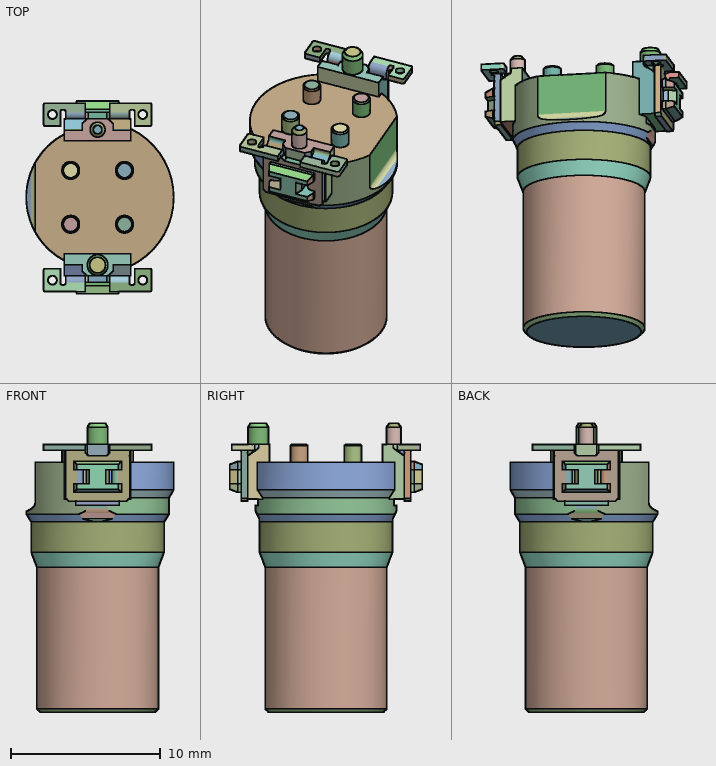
import cadquery as cq
import math

overall_height = 19.35
cover_top = 17.94
body_top = 16.74

can_radius = 4.08
can_edge_chamfer = 0.25
neck_radius = 4.46
body_radius = 4.78
rim_radius = 5.1
shoulder_bottom = 9.73
shoulder_top = 10.73
lip_bottom = 12.75
lip_top = 13.27
rim_cone_bottom = 14.35
rim_cone_top = 14.91

flat_x = -4.18
flat_bottom = 14.07
runout_radius = 0.5
runout_slope = 30.0
runout_width = 1.0

upper_flat = 4.55
lower_flat = 4.73
slope_start_flat = 4.65
foot_flat = 4.48
flat_step_height = 13.85
curve_start = 13.63
slope_start = 13.34
slope_end = 12.96

contact_radius = 0.59
contact_pitch = 3.6
contact_chamfer = 0.1

block_half_width = 2.23
block_inner = 3.77
block_outer = 5.25
block_bottom = 14.27
step_distance = 4.5
step_bottom = 17.68
slope_bottom = 17.16
step_fillet = 0.2
nose_half_width = 1.04
nose_tip_half_width = 0.7
nose_taper_start = 4.93

locator_distance = 4.53
locator_tip_length = 0.26
large_locator_radius = 0.69
large_locator_tip = 0.53
small_locator_radius = 0.5
small_locator_tip = 0.29

sheet = 0.43
plate_outer = block_outer + sheet
plate_half_width = 2.14
plate_bottom = 14.14
plate_corner = 0.2
tab_thickness = 0.4
inner_bend_radius = 0.06
tab_bottom = cover_top - tab_thickness
tab_outer = 6.31
tab_half_width = 3.62
ear_inner = 4.76
ear_half_gap = 2.48
ear_corner = 0.13
relief_outer = 5.85
relief_corner = 0.12
ear_hole_x = 3.02
ear_hole_distance = 5.54
ear_hole_radius = 0.29
notch_half_width = 0.81
notch_bottom = 17.18
notch_corner = 0.2

latch_middle = 15.76
latch_width = 3.2
latch_height = 2.08
latch_root = 5.9
latch_tip = 6.45
latch_draft = 0.21
latch_slot_height = 0.95
web_tip_half_width = 0.56
web_root_half_width = web_tip_half_width + latch_draft
slot_floor_inner = 0.95


def slab(x_size, inner, outer, bottom, top):
    """Box centred on X, spanning inner to outer distances on the -Y side."""
    return cq.Workplane("XY").box(
        x_size, outer - inner, top - bottom, centered=(True, False, False)
    ).translate((0, -outer, bottom))


def turned(points):
    """Solid of revolution about Z from (radius, height) points."""
    return cq.Workplane("XZ").polyline(points).close().revolve(360, (0, 0), (0, 1))


def tipped_pin(radius, tip_radius, bottom, top, tip_length):
    """Round pin along Z with a conical tip."""
    return turned([
        (0, bottom),
        (radius, bottom),
        (radius, top - tip_length),
        (tip_radius, top),
        (0, top),
    ])


def make_can():
    body = turned([
        (0, 0),
        (can_radius - can_edge_chamfer, 0),
        (can_radius, can_edge_chamfer),
        (can_radius, shoulder_bottom),
        (neck_radius, shoulder_top),
        (neck_radius, lip_bottom),
        (body_radius, lip_top),
        (body_radius, body_top),
        (0, body_top),
    ])
    rim = turned([
        (0, rim_cone_bottom),
        (body_radius, rim_cone_bottom),
        (rim_radius, rim_cone_top),
        (rim_radius, body_top),
        (0, body_top),
    ])
    return body, rim


def side_flat_cutter():
    angle = math.radians(90 - runout_slope)

    def on_runout(turn):
        return (
            flat_x - runout_radius * (1 - math.cos(turn)),
            flat_bottom - runout_radius * math.sin(turn),
        )

    end_x, end_z = on_runout(angle)
    drop = runout_width * math.tan(math.radians(runout_slope))
    return (
        cq.Workplane("XZ")
        .moveTo(flat_x, body_top)
        .lineTo(flat_x, flat_bottom)
        .threePointArc(on_runout(angle / 2), (end_x, end_z))
        .lineTo(end_x - runout_width, end_z - drop)
        .lineTo(end_x - runout_width, body_top)
        .close()
        .extrude(rim_radius, both=True)
    )


def stepped_flat_cutter():
    clear = 2 * rim_radius
    return (
        cq.Workplane("YZ")
        .moveTo(-clear, body_top)
        .lineTo(-upper_flat, body_top)
        .lineTo(-upper_flat, flat_step_height)
        .lineTo(-lower_flat, flat_step_height)
        .lineTo(-lower_flat, curve_start)
        .tangentArcPoint((-slope_start_flat, slope_start), relative=False)
        .lineTo(-foot_flat, slope_end)
        .lineTo(-foot_flat, lip_bottom)
        .lineTo(-clear, lip_bottom)
        .close()
        .extrude(clear, both=True)
    )


def make_block():
    block = slab(2 * block_half_width, block_inner, block_outer, block_bottom, cover_top)
    slope = (
        cq.Workplane("YZ")
        .polyline([
            (-step_distance, cover_top),
            (-step_distance, step_bottom),
            (-block_outer, slope_bottom),
            (-block_outer, cover_top),
        ])
        .close()
        .extrude(block_half_width, both=True)
    )
    step_foot = cq.NearestToPointSelector((0, -step_distance, step_bottom))
    slope = slope.edges(step_foot).fillet(step_fillet)
    nose = (
        cq.Workplane("XY")
        .workplane(offset=block_bottom)
        .polyline([
            (-nose_half_width, -block_inner),
            (-nose_half_width, -nose_taper_start),
            (-nose_tip_half_width, -block_outer),
            (nose_tip_half_width, -block_outer),
            (nose_half_width, -nose_taper_start),
            (nose_half_width, -block_inner),
        ])
        .close()
        .extrude(cover_top - block_bottom)
    )
    return block.cut(slope).union(nose)


def make_tab():
    tab = slab(2 * tab_half_width, ear_inner, tab_outer, tab_bottom, cover_top)
    gap = slab(2 * ear_half_gap, ear_inner, block_outer, tab_bottom, cover_top)
    tab = tab.cut(gap).edges("|Z").edges("<X or >X").fillet(ear_corner)
    relief_width = ear_half_gap - plate_half_width
    relief_x = (ear_half_gap + plate_half_width) / 2
    for side in (-1, 1):
        relief = slab(relief_width, ear_inner, relief_outer, tab_bottom, cover_top)
        relief = relief.edges("|Z and <Y").fillet(relief_corner)
        tab = tab.cut(relief.translate((side * relief_x, 0, 0)))
    holes = (
        cq.Workplane("XY")
        .workplane(offset=tab_bottom)
        .pushPoints([(-ear_hole_x, -ear_hole_distance), (ear_hole_x, -ear_hole_distance)])
        .circle(ear_hole_radius)
        .extrude(tab_thickness)
    )
    return tab.cut(holes)


def make_latch():
    root_plane = cq.Workplane("XZ", origin=(0, 0, latch_middle)).workplane(offset=block_outer)
    root = root_plane.rect(latch_width, latch_height).extrude(latch_root - block_outer)
    tip = (
        root.faces("<Y")
        .workplane(centerOption="CenterOfBoundBox")
        .rect(latch_width, latch_height)
        .workplane(offset=latch_tip - latch_root)
        .rect(latch_width - 2 * latch_draft, latch_height - 2 * latch_draft)
        .loft(combine=False)
    )
    return root.union(tip)


def latch_slot_cutter():
    """Slot beside the +X face of the latch web, with a rounded lead-in floor."""
    floor_outer = slot_floor_inner + sheet
    arc_shift = sheet * math.sqrt(0.5)
    return (
        cq.Workplane("XY")
        .workplane(offset=latch_middle - latch_slot_height / 2)
        .moveTo(web_tip_half_width, -latch_tip)
        .lineTo(web_root_half_width, -latch_root)
        .lineTo(web_root_half_width, -block_outer)
        .lineTo(slot_floor_inner, -block_outer)
        .threePointArc(
            (floor_outer - arc_shift, -block_outer - arc_shift),
            (floor_outer, -plate_outer),
        )
        .lineTo(latch_width, -plate_outer)
        .lineTo(latch_width, -latch_tip)
        .close()
        .extrude(latch_slot_height)
    )


def make_terminal():
    plate = slab(2 * plate_half_width, block_outer, plate_outer, plate_bottom, cover_top)
    plate = plate.edges("|Y and <Z").chamfer(plate_corner)
    terminal = plate.union(make_tab())

    bend_centre_z = cover_top - sheet
    bend_shift = sheet * (1 - math.sqrt(0.5))
    bend = (
        cq.Workplane("YZ")
        .moveTo(-block_outer, bend_centre_z)
        .threePointArc(
            (-block_outer - bend_shift, cover_top - bend_shift),
            (-plate_outer, cover_top),
        )
        .lineTo(-block_outer, cover_top)
        .close()
        .extrude(plate_half_width, both=True)
    )
    inner_bend = slab(
        2 * plate_half_width,
        block_outer,
        plate_outer + inner_bend_radius,
        tab_bottom - inner_bend_radius,
        tab_bottom,
    )
    inner_bend = inner_bend.cut(
        cq.Workplane("YZ")
        .center(-plate_outer - inner_bend_radius, tab_bottom - inner_bend_radius)
        .circle(inner_bend_radius)
        .extrude(plate_half_width, both=True)
    )
    notch = slab(2 * notch_half_width, block_outer, tab_outer, notch_bottom, cover_top)
    notch = notch.edges("|Y and <Z").chamfer(notch_corner)
    slot = latch_slot_cutter()
    return (
        terminal.union(inner_bend)
        .cut(bend)
        .cut(notch)
        .union(make_latch())
        .cut(slot)
        .cut(slot.mirror("YZ"))
    )


def make_connector_side(locator_radius, locator_tip):
    """Insulator block, terminal and locating pin on the -Y side."""
    locator = tipped_pin(
        locator_radius, locator_tip, block_bottom, overall_height, locator_tip_length
    ).translate((0, -locator_distance, 0))
    return make_block().union(locator).union(make_terminal())


def make_part():
    body, rim = make_can()
    flat = stepped_flat_cutter()
    body = body.cut(side_flat_cutter()).cut(flat).cut(flat.mirror("XZ"))
    half_space = cq.Workplane("XY").box(
        2 * rim_radius, 4 * rim_radius, overall_height, centered=(False, True, False)
    )
    part = body.union(rim.intersect(half_space))
    part = part.union(make_connector_side(large_locator_radius, large_locator_tip))
    part = part.union(make_connector_side(small_locator_radius, small_locator_tip).mirror("XZ"))
    contact = tipped_pin(
        contact_radius, contact_radius - contact_chamfer, shoulder_top, cover_top, contact_chamfer
    )
    for x_sign in (-1, 1):
        for y_sign in (-1, 1):
            place = (x_sign * contact_pitch / 2, y_sign * contact_pitch / 2, 0)
            part = part.union(contact.translate(place))
    return part


result = make_part()